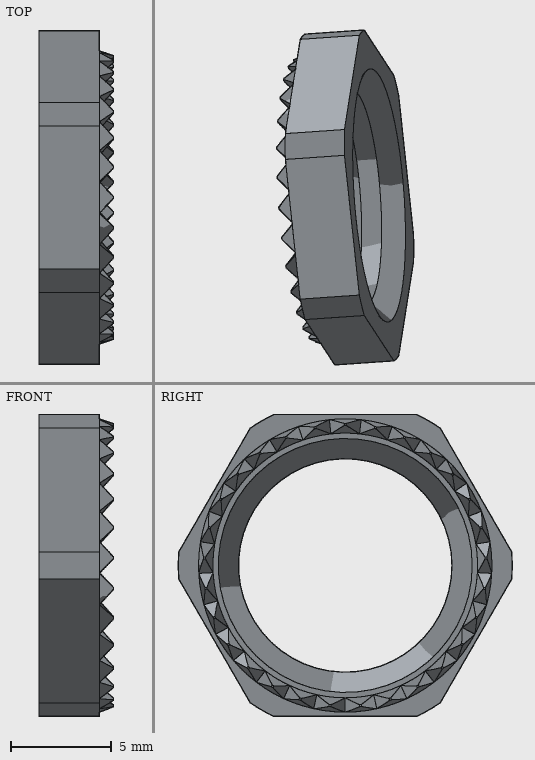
import cadquery as cq
import math

HEX_SIDES = 6
ACROSS_FLATS = 15.0
CORNER_DIAMETER = 16.59
BODY_THICKNESS = 3.0

BORE_RADIUS = 5.3
MOUTH_RADIUS = 6.3
CONE_DEPTH = 1.0

TOOTH_COUNT = 29
TOOTH_HEIGHT = 0.7
TOOTH_ROOT_DEPTH = 0.17
TOOTH_OUTER_BASE_RADIUS = 7.28
TOOTH_OUTER_TIP_RADIUS = 7.05
TOOTH_INNER_BASE_RADIUS = 6.57
TOOTH_INNER_TIP_RADIUS = 6.95
GROOVE_ANGLE = 91.0

OVERALL_LENGTH = BODY_THICKNESS + TOOTH_HEIGHT
X_AXIS_START = (0, 0, 0)
X_AXIS_END = (1, 0, 0)


def revolve_about_x(profile):
    """Turn a closed (x, radius) profile about the X axis."""
    outline = cq.Workplane("XY").polyline(profile).close()
    return outline.revolve(360, X_AXIS_START, X_AXIS_END)


def make_body():
    """Hexagonal plate with flats at +Z and -Z and its six corners turned round."""
    across_corners = ACROSS_FLATS / math.cos(math.pi / HEX_SIDES)
    hexagon = cq.Workplane("YZ").polygon(HEX_SIDES, across_corners).extrude(BODY_THICKNESS)
    corner_cylinder = cq.Workplane("YZ").circle(CORNER_DIAMETER / 2).extrude(BODY_THICKNESS)
    return hexagon.intersect(corner_cylinder)


def make_bore():
    """Through bore with a cone at both faces."""
    return revolve_about_x([
        (0, 0),
        (0, MOUTH_RADIUS),
        (CONE_DEPTH, BORE_RADIUS),
        (BODY_THICKNESS - CONE_DEPTH, BORE_RADIUS),
        (BODY_THICKNESS, MOUTH_RADIUS),
        (BODY_THICKNESS, 0),
    ])


def make_tooth_ring():
    """Raised ring, sunk into the body, from which the teeth are cut."""
    ring_root = BODY_THICKNESS - TOOTH_ROOT_DEPTH
    return revolve_about_x([
        (ring_root, TOOTH_INNER_BASE_RADIUS),
        (BODY_THICKNESS, TOOTH_INNER_BASE_RADIUS),
        (OVERALL_LENGTH, TOOTH_INNER_TIP_RADIUS),
        (OVERALL_LENGTH, TOOTH_OUTER_TIP_RADIUS),
        (BODY_THICKNESS, TOOTH_OUTER_BASE_RADIUS),
        (ring_root, TOOTH_OUTER_BASE_RADIUS),
    ])


def make_groove():
    """Radial V groove along +Z with its bottom on the +X face of the body."""
    depth = 2 * TOOTH_HEIGHT
    half_width = depth * math.tan(math.radians(GROOVE_ANGLE / 2))
    return (
        cq.Workplane("XY")
        .polyline([
            (BODY_THICKNESS, 0),
            (BODY_THICKNESS + depth, half_width),
            (BODY_THICKNESS + depth, -half_width),
        ])
        .close()
        .extrude(CORNER_DIAMETER / 2)
    )


def make_teeth():
    """Teeth left standing between evenly spaced grooves, one tooth centred on +Z."""
    pitch = 360 / TOOTH_COUNT
    teeth = make_tooth_ring()
    groove = make_groove()
    for index in range(TOOTH_COUNT):
        angle = (index + 0.5) * pitch
        teeth = teeth.cut(groove.rotate(X_AXIS_START, X_AXIS_END, angle))
    return teeth


result = make_body().cut(make_bore()).union(make_teeth())